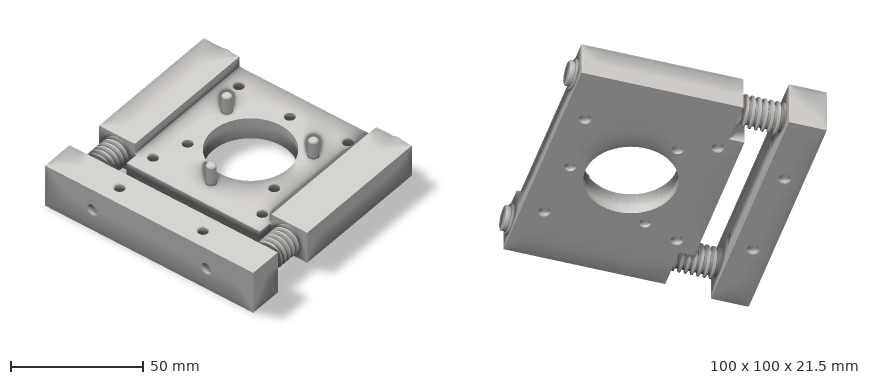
import cadquery as cq
import math

BAR_LENGTH = 100.0
BAR_DEPTH = 15.0
BAR_HEIGHT = 20.0
BAR_TOP_HOLE_SPACING = 40.0
BAR_FRONT_HOLE_SPACING = 54.8

BLOCK_HEIGHT = 15.0
BLOCK_LENGTH = 64.0
BLOCK_WIDTH = 17.2
PLATE_THICKNESS = 10.0
TONGUE_WIDTH = 64.0
TONGUE_LENGTH = 6.0
CARRIAGE_FRONT_Y = 33.0
CARRIAGE_BACK_Y = CARRIAGE_FRONT_Y + BLOCK_LENGTH
CARRIAGE_BOTTOM_Z = (BAR_HEIGHT - BLOCK_HEIGHT) / 2
PLATE_TOP_Z = CARRIAGE_BOTTOM_Z + PLATE_THICKNESS
TONGUE_FRONT_Y = CARRIAGE_FRONT_Y - TONGUE_LENGTH

APERTURE_DIAMETER = 36.0
APERTURE_Y = (TONGUE_FRONT_Y + CARRIAGE_BACK_Y) / 2
CORNER_HOLE_SPACING = 52.4
RING_RADIUS = 24.0
RING_HOLE_DIAMETER = 4.5
RING_HOLE_ANGLES = (90, 210, 330)

PIN_DIAMETER = 4.0
PIN_CHAMFER = 0.5
PIN_GROOVE_DEPTH = 1.0
BACK_PIN_HEIGHT = 8.1
FRONT_PIN_HEIGHT = 9.0
PIN_HEIGHT_AT_ANGLE = {30: BACK_PIN_HEIGHT, 150: BACK_PIN_HEIGHT, 270: FRONT_PIN_HEIGHT}

TAPPED_DIAMETER = 4.2
TAPPED_MOUTH_CHAMFER = 0.4

ROD_SPACING = 82.0
ROD_Z = BAR_HEIGHT / 2
ROD_END_Y = 100.0
ROD_DIAMETER = 10.0
ROD_CHAMFER = 0.4
JOURNAL_DIAMETER = 8.0
COLLAR_DIAMETER = 11.9
COLLAR_THICKNESS = 1.0

COIL_DIAMETER = 12.6
COIL_PITCH = 2.5
COIL_ROOT_WIDTH = 1.7
COIL_CREST_WIDTH = 0.6
COIL_EMBED = 0.2
COIL_OVERRUN = 1.2


def box(x_min, x_max, y_min, y_max, z_min, z_max):
    size = (x_max - x_min, y_max - y_min, z_max - z_min)
    return cq.Workplane("XY").box(*size, centered=False).translate((x_min, y_min, z_min))


def rod_along_y(x, diameter, y_start, y_end):
    """Cylinder parallel to Y at the height of the guide rods."""
    direction = cq.Vector(0, 1, 0)
    start = cq.Vector(x, y_start, ROD_Z)
    return cq.Workplane(cq.Solid.makeCylinder(diameter / 2, y_end - y_start, start, direction))


def tapped_hole(entry, direction, depth):
    """Through-hole cutter with a chamfer at both mouths."""
    radius = TAPPED_DIAMETER / 2
    mouth = radius + TAPPED_MOUTH_CHAMFER
    start = cq.Vector(*entry)
    axis = cq.Vector(*direction)
    hole = cq.Solid.makeCylinder(radius, depth, start, axis)
    entry_cone = cq.Solid.makeCone(mouth, radius, TAPPED_MOUTH_CHAMFER, start, axis)
    exit_cone = cq.Solid.makeCone(mouth, radius, TAPPED_MOUTH_CHAMFER, start + axis * depth, -axis)
    return cq.Workplane(hole).union(cq.Workplane(entry_cone)).union(cq.Workplane(exit_cone))


def ring_point(angle):
    """Point on the bolt circle around the aperture."""
    turn = math.radians(angle)
    return RING_RADIUS * math.cos(turn), APERTURE_Y + RING_RADIUS * math.sin(turn)


def make_bar():
    bar = box(-BAR_LENGTH / 2, BAR_LENGTH / 2, 0, BAR_DEPTH, 0, BAR_HEIGHT)
    for side in (-1, 1):
        top_hole_entry = (side * BAR_TOP_HOLE_SPACING / 2, BAR_DEPTH / 2, BAR_HEIGHT)
        front_hole_entry = (side * BAR_FRONT_HOLE_SPACING / 2, 0, ROD_Z)
        bar = bar.cut(tapped_hole(top_hole_entry, (0, 0, -1), BAR_HEIGHT))
        bar = bar.cut(tapped_hole(front_hole_entry, (0, 1, 0), BAR_DEPTH))
        bar = bar.cut(rod_along_y(side * ROD_SPACING / 2, JOURNAL_DIAMETER, 0, BAR_DEPTH))
    return bar


def make_pin(angle, height):
    pin = cq.Workplane("XY").circle(PIN_DIAMETER / 2).extrude(height + PIN_GROOVE_DEPTH)
    pin = pin.faces(">Z").chamfer(PIN_CHAMFER)
    return pin.translate((*ring_point(angle), PLATE_TOP_Z - PIN_GROOVE_DEPTH))


def make_carriage_body():
    """Plate with its front tongue, between two bored side blocks."""
    half_width = BAR_LENGTH / 2
    inner_x = half_width - BLOCK_WIDTH
    tongue_x = TONGUE_WIDTH / 2
    bottom_z = CARRIAGE_BOTTOM_Z
    block_top_z = bottom_z + BLOCK_HEIGHT
    plate = box(-inner_x, inner_x, CARRIAGE_FRONT_Y, CARRIAGE_BACK_Y, bottom_z, PLATE_TOP_Z)
    tongue = box(-tongue_x, tongue_x, TONGUE_FRONT_Y, CARRIAGE_FRONT_Y, bottom_z, PLATE_TOP_Z)
    block = box(inner_x, half_width, CARRIAGE_FRONT_Y, CARRIAGE_BACK_Y, bottom_z, block_top_z)
    block = block.cut(rod_along_y(ROD_SPACING / 2, ROD_DIAMETER, CARRIAGE_FRONT_Y, CARRIAGE_BACK_Y))
    return plate.union(tongue).union(block).union(block.mirror("YZ"))


def cut_plate_holes(carriage):
    """Central aperture, four tapped corner holes and three plain holes around the aperture."""
    plate_top = cq.Workplane("XY", origin=(0, 0, PLATE_TOP_Z))
    aperture = plate_top.center(0, APERTURE_Y).circle(APERTURE_DIAMETER / 2).extrude(-PLATE_THICKNESS)
    carriage = carriage.cut(aperture)
    for side_x in (-1, 1):
        for side_y in (-1, 1):
            x = side_x * CORNER_HOLE_SPACING / 2
            y = APERTURE_Y + side_y * CORNER_HOLE_SPACING / 2
            carriage = carriage.cut(tapped_hole((x, y, PLATE_TOP_Z), (0, 0, -1), PLATE_THICKNESS))
    ring_holes = plate_top.pushPoints([ring_point(angle) for angle in RING_HOLE_ANGLES])
    return carriage.cut(ring_holes.circle(RING_HOLE_DIAMETER / 2).extrude(-PLATE_THICKNESS))


def add_pins(carriage):
    plate_top = cq.Workplane("XY", origin=(0, 0, PLATE_TOP_Z))
    grooves = plate_top.pushPoints([ring_point(angle) for angle in PIN_HEIGHT_AT_ANGLE])
    carriage = carriage.cut(grooves.circle(RING_HOLE_DIAMETER / 2).extrude(-PIN_GROOVE_DEPTH))
    for angle, height in PIN_HEIGHT_AT_ANGLE.items():
        carriage = carriage.union(make_pin(angle, height))
    return carriage


def make_coil(x):
    start_y = BAR_DEPTH - COIL_OVERRUN
    root_radius = ROD_DIAMETER / 2 - COIL_EMBED
    crest_radius = COIL_DIAMETER / 2
    turns = math.ceil((CARRIAGE_FRONT_Y + COIL_OVERRUN - start_y) / COIL_PITCH)
    helix = cq.Wire.makeHelix(COIL_PITCH, turns * COIL_PITCH, root_radius)
    coil = (
        cq.Workplane("XZ")
        .moveTo(root_radius, -COIL_ROOT_WIDTH / 2)
        .lineTo(crest_radius, -COIL_CREST_WIDTH / 2)
        .lineTo(crest_radius, COIL_CREST_WIDTH / 2)
        .lineTo(root_radius, COIL_ROOT_WIDTH / 2)
        .close()
        .sweep(cq.Workplane(helix), isFrenet=True)
    )
    coil = coil.rotate((0, 0, 0), (1, 0, 0), -90).translate((x, start_y, ROD_Z))
    trim_diameter = 2 * COIL_DIAMETER
    return coil.intersect(rod_along_y(x, trim_diameter, BAR_DEPTH, CARRIAGE_FRONT_Y))


def make_guide_rod(x):
    rod = rod_along_y(x, ROD_DIAMETER, BAR_DEPTH, ROD_END_Y).faces(">Y").chamfer(ROD_CHAMFER)
    rod = rod.union(rod_along_y(x, JOURNAL_DIAMETER, 0, BAR_DEPTH))
    collar_end_y = CARRIAGE_BACK_Y + COLLAR_THICKNESS
    rod = rod.union(rod_along_y(x, COLLAR_DIAMETER, CARRIAGE_BACK_Y, collar_end_y))
    return rod.union(make_coil(x))


bar = make_bar()
carriage = add_pins(cut_plate_holes(make_carriage_body()))
guide_rods = [make_guide_rod(side * ROD_SPACING / 2) for side in (-1, 1)]

bodies = [bar, carriage, *guide_rods]
result = cq.Compound.makeCompound([body.solids().val() for body in bodies])